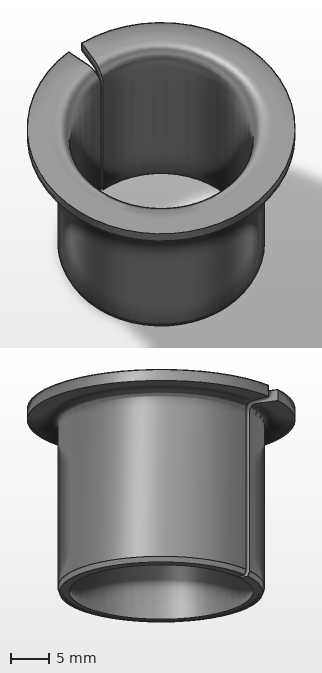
import cadquery as cq
import math

flange_radius = 17.5
body_radius = 13.5
wall = 1.5
height = 25.0
outer_fillet = 0.98
chamfer_height = 0.7
chamfer_width = 0.25
slit_inner_width = 0.35
slit_outer_width = 2.25

bore_radius = body_radius - wall
inner_fillet = outer_fillet + wall
fillet_center_x = body_radius + outer_fillet
fillet_center_z = height - inner_fillet
diagonal = math.sqrt(0.5)


def bushing():
    """Revolve the wall section, from the chamfered lower end to the flange."""
    profile = (
        cq.Workplane("XZ")
        .moveTo(bore_radius, 0)
        .lineTo(body_radius - chamfer_width, 0)
        .lineTo(body_radius, chamfer_height)
        .lineTo(body_radius, fillet_center_z)
        .threePointArc(
            (fillet_center_x - outer_fillet * diagonal, fillet_center_z + outer_fillet * diagonal),
            (fillet_center_x, height - wall),
        )
        .lineTo(flange_radius, height - wall)
        .lineTo(flange_radius, height)
        .lineTo(fillet_center_x, height)
        .threePointArc(
            (fillet_center_x - inner_fillet * diagonal, fillet_center_z + inner_fillet * diagonal),
            (bore_radius, fillet_center_z),
        )
        .close()
    )
    body = profile.revolve(360, (0, 0, 0), (0, 1, 0))
    return body.rotate((0, 0, 0), (0, 0, 1), 180)


def slit():
    """Wedge on the -X side that widens outward and runs the full height."""
    outer_x = math.sqrt(flange_radius**2 - (slit_outer_width / 2) ** 2)
    flare = (slit_outer_width - slit_inner_width) / 2 / (outer_x - bore_radius)
    apex_x = bore_radius - slit_inner_width / 2 / flare
    cutter_x = flange_radius + wall
    cutter_half_width = flare * (cutter_x - apex_x)
    corners = [(-apex_x, 0), (-cutter_x, cutter_half_width), (-cutter_x, -cutter_half_width)]
    return cq.Workplane("XY").polyline(corners).close().extrude(height)


result = bushing().cut(slit())